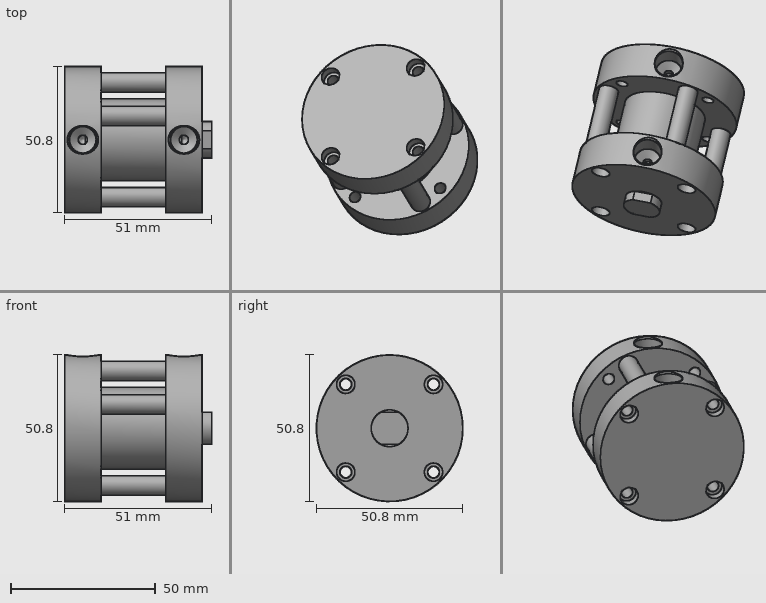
import cadquery as cq
import math


PLATE_DIAMETER = 50.8
PLATE_RADIUS = PLATE_DIAMETER / 2
PLATE_THICKNESS = 12.65
PLATE_GAP = 22.35
LEFT_INNER_X = -PLATE_GAP / 2
RIGHT_INNER_X = PLATE_GAP / 2
RIGHT_OUTER_X = RIGHT_INNER_X + PLATE_THICKNESS

BARREL_RADIUS = 14.25
RECESS_DEPTH = 5.5

BOLT_CIRCLE_RADIUS = 21.5
BOLT_COUNT = 4
SCREW_ANGLE = 45.0
SPACER_ANGLE = SCREW_ANGLE + 360 / 16
SPACER_RADIUS = 3.4
SCREW_HOLE_RADIUS = 2.0
COUNTERBORE_RADIUS = 3.15
COUNTERBORE_DEPTH = 3.8

PORT_MOUTH_RADIUS = 5.4
PORT_CHAMFER = 0.6
PORT_BORE_TOP_RADIUS = PORT_MOUTH_RADIUS - PORT_CHAMFER
PORT_BORE_END_RADIUS = 4.6
PORT_BORE_DEPTH = 7.4
FEED_RADIUS = 1.6
FEED_OVERRUN = 0.25
FEED_END_Z = BARREL_RADIUS - FEED_OVERRUN
DRILL_HALF_ANGLE = math.radians(59)

ROD_RADIUS = 6.4
ROD_FLAT_DISTANCE = 5.55
ROD_EXPOSED = 3.35


def x_cylinder(radius, start_x, length):
    return cq.Workplane("YZ", origin=(start_x, 0, 0)).circle(radius).extrude(length)


def bolt_positions(first_angle):
    """(Y, Z) centres equally spaced around the bolt circle."""
    angles = [math.radians(first_angle + i * 360 / BOLT_COUNT) for i in range(BOLT_COUNT)]
    return [(BOLT_CIRCLE_RADIUS * math.cos(a), BOLT_CIRCLE_RADIUS * math.sin(a)) for a in angles]


def screw_cylinders(radius, start_x, length):
    """Cylinders on all the screw centres."""
    return (
        cq.Workplane("YZ", origin=(start_x, 0, 0))
        .pushPoints(bolt_positions(SCREW_ANGLE))
        .circle(radius)
        .extrude(length)
    )


def make_port(center_x):
    """Space drilled down from the rim of a plate, revolved about a vertical axis."""
    bore_end_z = PLATE_RADIUS - PORT_BORE_DEPTH
    feed_start_z = bore_end_z - (PORT_BORE_END_RADIUS - FEED_RADIUS) / math.tan(DRILL_HALF_ANGLE)
    feed_tip_z = FEED_END_Z - FEED_RADIUS / math.tan(DRILL_HALF_ANGLE)
    return (
        cq.Workplane("XZ", origin=(center_x, 0, 0))
        .moveTo(0, PLATE_RADIUS)
        .lineTo(PORT_MOUTH_RADIUS, PLATE_RADIUS)
        .lineTo(PORT_BORE_TOP_RADIUS, PLATE_RADIUS - PORT_CHAMFER)
        .lineTo(PORT_BORE_END_RADIUS, bore_end_z)
        .lineTo(FEED_RADIUS, feed_start_z)
        .lineTo(FEED_RADIUS, FEED_END_Z)
        .lineTo(0, feed_tip_z)
        .close()
        .revolve(360, (0, 0, 0), (0, 1, 0))
    )


def make_left_plate():
    outer_x = LEFT_INNER_X - PLATE_THICKNESS
    plate = x_cylinder(PLATE_RADIUS, outer_x, PLATE_THICKNESS)
    recess = x_cylinder(BARREL_RADIUS, LEFT_INNER_X - RECESS_DEPTH, RECESS_DEPTH)
    screw_holes = screw_cylinders(SCREW_HOLE_RADIUS, outer_x, PLATE_THICKNESS)
    counterbores = screw_cylinders(COUNTERBORE_RADIUS, outer_x, COUNTERBORE_DEPTH)
    port = make_port(LEFT_INNER_X - PLATE_THICKNESS / 2)
    return plate.cut(recess).cut(screw_holes).cut(counterbores).cut(port)


def make_rod():
    """Round rod standing on the end of the barrel, flatted only where it leaves the plate."""
    start_x = RIGHT_INNER_X + RECESS_DEPTH
    round_part = x_cylinder(ROD_RADIUS, start_x, RIGHT_OUTER_X - start_x)
    flats = (
        cq.Workplane("YZ", origin=(RIGHT_OUTER_X, 0, 0))
        .rect(2 * ROD_RADIUS, 2 * ROD_FLAT_DISTANCE)
        .extrude(ROD_EXPOSED)
    )
    flatted_end = x_cylinder(ROD_RADIUS, RIGHT_OUTER_X, ROD_EXPOSED).intersect(flats)
    return round_part.union(flatted_end)


def make_right_plate():
    """Mirror image of the left plate, with a hole for the rod."""
    rod_hole = x_cylinder(ROD_RADIUS, RIGHT_INNER_X, PLATE_THICKNESS)
    return make_left_plate().mirror("YZ").cut(rod_hole)


def make_barrel():
    return x_cylinder(BARREL_RADIUS, LEFT_INNER_X - RECESS_DEPTH, PLATE_GAP + 2 * RECESS_DEPTH)


def make_spacer(center_y, center_z):
    return x_cylinder(SPACER_RADIUS, LEFT_INNER_X, PLATE_GAP).translate((0, center_y, center_z))


left_plate = make_left_plate()
right_plate = make_right_plate()
barrel = make_barrel()
rod = make_rod()
spacers = [make_spacer(y, z) for y, z in bolt_positions(SPACER_ANGLE)]

result = cq.Compound.makeCompound(
    [left_plate.val(), right_plate.val(), barrel.val(), rod.val()]
    + [spacer.val() for spacer in spacers]
)